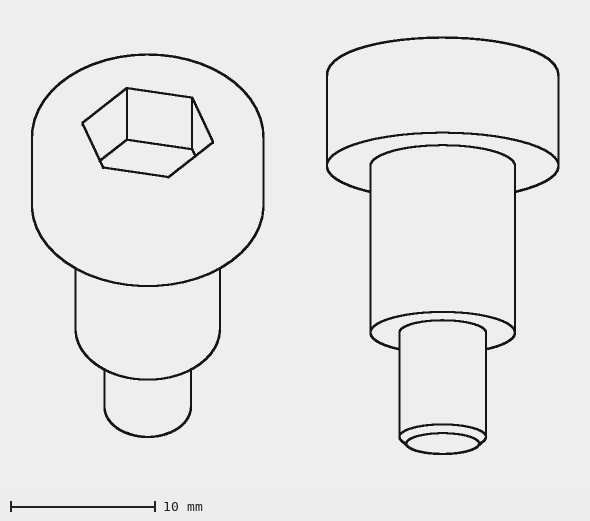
import cadquery as cq
import math

total_length = 27.0
head_diameter = 16.0
head_height = 7.0
shoulder_diameter = 10.0
pin_diameter = 6.0
pin_length = 8.0
shoulder_length = total_length - head_height - pin_length

head_fillet = 0.5
tip_chamfer = 0.49

socket_across_flats = 8.0
socket_depth = 5.0
socket_across_corners = socket_across_flats / math.cos(math.pi / 6)


def make_pin():
    """Pin standing on Z = 0 with a chamfered tip."""
    pin = cq.Workplane("XY").circle(pin_diameter / 2).extrude(pin_length)
    return pin.faces("<Z").edges().chamfer(tip_chamfer)


def make_shoulder():
    """Plain cylinder between the pin and the head."""
    base = cq.Workplane("XY").workplane(offset=pin_length)
    return base.circle(shoulder_diameter / 2).extrude(shoulder_length)


def make_head():
    """Cylindrical head with a rounded top rim and a blind hexagonal socket."""
    base = cq.Workplane("XY").workplane(offset=pin_length + shoulder_length)
    head = base.circle(head_diameter / 2).extrude(head_height)
    head = head.faces(">Z").edges().fillet(head_fillet)
    top = cq.Workplane("XY").workplane(offset=total_length)
    socket = top.polygon(6, socket_across_corners).extrude(-socket_depth)
    return head.cut(socket)


result = make_pin().union(make_shoulder()).union(make_head())